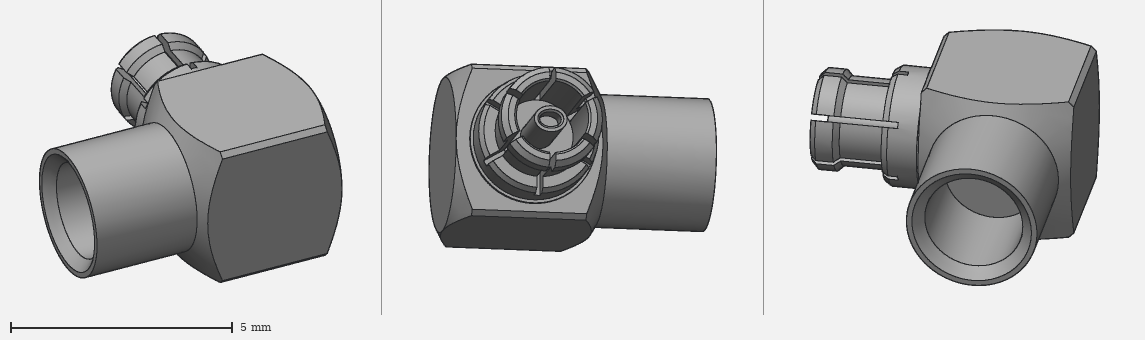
import cadquery as cq
import math


block_size = 3.5
block_half = block_size / 2
edge_chamfer = 0.12
end_cone_angle = 30.0
corner_radius = block_half * math.sqrt(2)

tube_diameter = 3.0
tube_length = 2.5
cable_hole_diameter = 2.25
cable_mouth_diameter = 2.745
cable_mouth_chamfer = (cable_mouth_diameter - cable_hole_diameter) / 2

barrel_length = 2.6
bore_diameter = 1.655
bore_mouth_diameter = 1.75
bore_mouth_depth = 0.05
bulge_diameter = 2.31
neck_diameter = 2.045
bulge_chamfer = (bulge_diameter - neck_diameter) / 2
bulge_length = 0.67
shoulder_start = 1.685
shoulder_diameter = 2.745
shoulder_face_diameter = 2.555
shoulder_chamfer_length = 0.145
rim_diameter = 2.885
rim_thickness = 0.075
slot_count = 6
slot_width = 0.14
slot_length = 2.05

pin_width = 0.75
pin_height = 0.6
pin_setback = 0.27
socket_wall = 0.13
socket_depth = 0.49
socket_chamfer = 0.05

tip_x = -block_half - barrel_length
block_face_x = -block_half
insulator_x = tip_x + slot_length


def revolve_about_x(profile):
    """Revolve a closed outline of (x, radius) points about the X axis."""
    return cq.Workplane("XY").polyline(profile).close().revolve(360, (0, 0, 0), (1, 0, 0))


def revolve_about_y(profile):
    """Revolve a closed outline of (radius, y) points about the Y axis."""
    return cq.Workplane("XY").polyline(profile).close().revolve(360, (0, 0, 0), (0, 1, 0))


def make_block():
    """Cube with chamfered long edges, turned to a shallow cone at both Y ends."""
    block = cq.Workplane("XY").box(block_size, block_size, block_size)
    block = block.edges("|Y").chamfer(edge_chamfer)
    slope = math.tan(math.radians(end_cone_angle))
    front_drop = (corner_radius - tube_diameter / 2) * slope
    back_drop = (corner_radius - block_half) * slope
    envelope = revolve_about_y([
        (0, -block_half),
        (tube_diameter / 2, -block_half),
        (corner_radius, -block_half + front_drop),
        (corner_radius, block_half - back_drop),
        (block_half, block_half),
        (0, block_half),
    ])
    return block.intersect(envelope)


def make_tube():
    """Cable tube with a blind hole as deep as the tube and a flared mouth."""
    tube_end = -block_half - tube_length
    return revolve_about_y([
        (tube_diameter / 2, -block_half),
        (tube_diameter / 2, tube_end),
        (cable_mouth_diameter / 2, tube_end),
        (cable_hole_diameter / 2, tube_end + cable_mouth_chamfer),
        (cable_hole_diameter / 2, -block_half),
    ])


def make_barrel():
    """Barrel with a snap bulge at the tip, split into spring fingers by radial slots."""
    bulge_radius = bulge_diameter / 2
    neck_radius = neck_diameter / 2
    shoulder_x = tip_x + shoulder_start
    rim_x = block_face_x - rim_thickness
    barrel = revolve_about_x([
        (tip_x, bore_mouth_diameter / 2),
        (tip_x, bulge_radius - bulge_chamfer),
        (tip_x + bulge_chamfer, bulge_radius),
        (tip_x + bulge_length - bulge_chamfer, bulge_radius),
        (tip_x + bulge_length, neck_radius),
        (shoulder_x, neck_radius),
        (shoulder_x, shoulder_face_diameter / 2),
        (shoulder_x + shoulder_chamfer_length, shoulder_diameter / 2),
        (rim_x, shoulder_diameter / 2),
        (rim_x, rim_diameter / 2),
        (block_face_x, rim_diameter / 2),
        (block_face_x, bore_diameter / 2),
        (tip_x + bore_mouth_depth, bore_diameter / 2),
    ])
    slot = cq.Workplane("XY").box(
        slot_length, slot_width, rim_diameter / 2, centered=(False, True, False)
    ).translate((tip_x, 0, 0))
    for index in range(slot_count):
        angle = index * 360 / slot_count
        barrel = barrel.cut(slot.rotate((0, 0, 0), (1, 0, 0), angle))
    return barrel


def make_housing():
    """Elbow block, cable tube and barrel joined as one body."""
    return make_block().union(make_tube()).union(make_barrel())


def oval_rod(width, height, start_x, end_x):
    """Elliptical rod along X, with its width along Y and its height along Z."""
    rod = cq.Workplane("YZ").workplane(offset=start_x).ellipse(width / 2, height / 2)
    return rod.extrude(end_x - start_x)


def make_insulator():
    """Plug that fills the barrel bore from the slot ends to the block, around the pin."""
    plug = cq.Workplane("YZ").workplane(offset=insulator_x).circle(bore_diameter / 2)
    plug = plug.extrude(block_face_x - insulator_x)
    return plug.cut(oval_rod(pin_width, pin_height, insulator_x, block_face_x))


def make_pin():
    """Contact pin with a chamfered blind oval socket in its tip."""
    pin_x = tip_x + pin_setback
    pin_body = oval_rod(pin_width, pin_height, pin_x, block_face_x)
    socket_width = pin_width - 2 * socket_wall
    socket_height = pin_height - 2 * socket_wall
    socket = oval_rod(socket_width, socket_height, pin_x, pin_x + socket_depth)
    pin_body = pin_body.cut(socket)
    socket_rim = pin_body.faces("<X").edges(cq.selectors.LengthNthSelector(0))
    return socket_rim.chamfer(socket_chamfer)


housing = make_housing()
insulator = make_insulator()
pin = make_pin()

result = cq.Compound.makeCompound([housing.val(), insulator.val(), pin.val()])